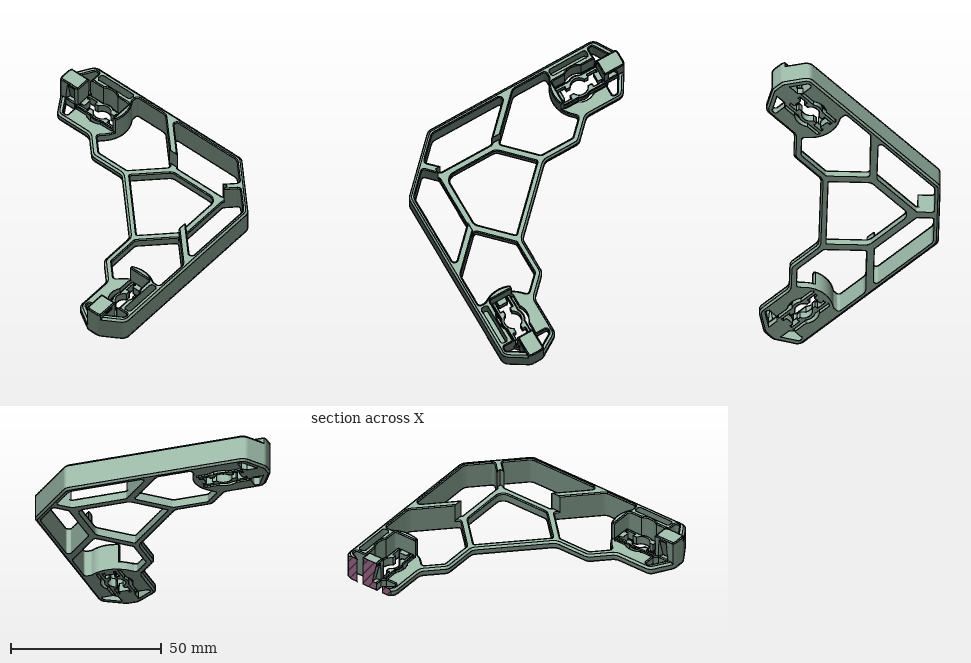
import cadquery as cq
import math

SIDE = 85.0
BASE_HEIGHT = 3.05
WALL_HEIGHT = 9.45
BLOCK_HEIGHT = 11.1
WALL = 1.65
BEAM = 2.4
OUTER_CHAMFER = 0.7
WINDOW_CHAMFER = 0.35
BLOCK_CHAMFER = 0.35
OUTER_RADIUS = 3.0
WINDOW_RADIUS = 1.0
WIDE_RADIUS = 2.8
SHARP_RADIUS = 0.5

EDGE = SIDE / 2
MIRROR_NORMAL = (1, -1, 0)
DIAG = math.sqrt(2)

HEAD_RADIUS = 10.0
HEAD_X = -26.6
HEAD_Y = EDGE - HEAD_RADIUS
HEAD_BOTTOM = HEAD_Y - HEAD_RADIUS
SHOULDER_X = -37.7
NOSE_HALF_FLAT = 2.2
BLOCK_HALF_WIDTH = 2.88

SLOT_HALF_LENGTH = 8.1
SLOT_HALF_WIDTH = 4.4
SLOT_BULGE_RADIUS = 5.4
SLOT_RADIUS = 0.8
STRIP_OUTER = 3.4
STRIP_INNER = 2.4
STRIP_CHAMFER = 0.3
STRIP_END = 0.4
RING_OUTER = 4.0
RING_INNER = 3.0
JAW_HALF_LENGTH = 4.15
JAW_HALF_GAP = 1.25
PAD_REACH = 1.8
PAD_HALF_WIDTH = 1.6
PAD_RADIUS = 0.4
CAP_END = -4.0

GROOVE_LENGTH = 14.1
GROOVE_WIDTH = 2.5
GROOVE_RADIUS = 0.9

NOSE_RIM = 2.0
NOSE_WINDOW_CHAMFER = 1.35
NOSE_WINDOW_RADIUS = 0.7
RECESS_HEIGHT = 9.9
RECESS_BOTTOM = (-40.3, -35.8)
RECESS_TOP = (-39.2, -36.25)
RECESS_DEPTH_BOTTOM = 2.4
RECESS_DEPTH_TOP = 0.2
RECESS_INSET_BOTTOM = 1.0
RECESS_INSET_TOP = 0.1

STEP_Y = 15.8
STEP_START_X = -17.0
DIAGONAL_START_X = -3.9
CORNER_X = 25.4
CROSS_TOP = 29.5
CLEARANCE = 29.75
FOOTPRINT_MARGIN = 2.0
RIB_SUM = 34.7
BRACE_DIFFERENCE = -22.1

STEP_SUM = STEP_START_X + STEP_Y
RIM_SUM = STEP_SUM + BEAM * DIAG
MIDDLE_SUM = DIAGONAL_START_X + STEP_Y + BEAM * DIAG
RIB_TOP_SUM = RIB_SUM + BEAM * DIAG
BRACE_INNER = BRACE_DIFFERENCE + BEAM * DIAG
CORNER_SUM = CORNER_X + EDGE - WALL * DIAG
CORNER_RIB = BEAM / DIAG
INSIDE = EDGE - WALL


def mirrored(points):
    """Mirror a list of points about x = y, keeping the outline continuous."""
    return [(y, x) for x, y in reversed(points)]


def cross_point(total, difference):
    """Point with the given x + y and x - y."""
    return ((total + difference) / 2, (total - difference) / 2)


def both_arms(shape):
    """Shape together with its mirror image on the other arm."""
    return shape.union(shape.mirror(MIRROR_NORMAL))


def box(x_range, y_range, z_range):
    """Axis-aligned box from its ranges."""
    size = [high - low for low, high in (x_range, y_range, z_range)]
    corner = (x_range[0], y_range[0], z_range[0])
    return cq.Workplane("XY").box(*size, centered=False).translate(corner)


def head_box(u_range, v_range, z_range):
    """Box whose plan ranges are measured from the head centre."""
    x_range = [HEAD_X + u for u in u_range]
    y_range = [HEAD_Y + v for v in v_range]
    return box(x_range, y_range, z_range)


def head_cylinder(radius, height):
    """Cylinder about the head centre."""
    return cq.Workplane("XY").center(HEAD_X, HEAD_Y).circle(radius).extrude(height)


def prism(points, height):
    """Upright prism over a polygon."""
    return cq.Workplane("XY").polyline(points).close().extrude(height)


def round_corners(body, points, radius):
    """Fillet the vertical edges of a prism that stand on the given plan points."""
    for x, y in points:
        level = body.val().BoundingBox().zmax / 2
        body = body.edges("|Z").edges(cq.selectors.NearestToPointSelector((x, y, level))).fillet(radius)
    return body


def contour(height):
    """Outer contour prism with rounded corners and a bottom chamfer."""
    upper_arm = [
        (CORNER_X, EDGE),
        (SHOULDER_X, EDGE),
        (-EDGE, HEAD_Y + NOSE_HALF_FLAT),
        (-EDGE, HEAD_Y - NOSE_HALF_FLAT),
        (SHOULDER_X, HEAD_BOTTOM),
        (STEP_SUM - HEAD_BOTTOM, HEAD_BOTTOM),
        (STEP_START_X, STEP_Y),
        (DIAGONAL_START_X, STEP_Y),
    ]
    body = prism(upper_arm + mirrored(upper_arm), height).edges("|Z").fillet(OUTER_RADIUS)
    return body.faces("<Z").chamfer(OUTER_CHAMFER)


def flared(window_shape, height, *details):
    """Window prism of the given height, widened at 45 degrees at its top."""
    window = window_shape(height - WINDOW_CHAMFER, *details)
    flare = window.faces(">Z").wires().toPending().workplane()
    return window.union(flare.extrude(WINDOW_CHAMFER, combine=False, taper=-45))


def head_window(height):
    """Window between the head, the rib and the brace."""
    tangent = HEAD_RADIUS / DIAG
    tip_u, tip_v = cross_point(RIM_SUM - HEAD_X - HEAD_Y, HEAD_RADIUS * DIAG)
    arc_v = math.sqrt(HEAD_RADIUS ** 2 - SLOT_HALF_LENGTH ** 2)
    beam_y = STEP_Y + BEAM
    tip = (HEAD_X + tip_u, HEAD_Y + tip_v)
    arc_end = (HEAD_X + SLOT_HALF_LENGTH, HEAD_Y + arc_v)
    wall_corner = (HEAD_X + SLOT_HALF_LENGTH, INSIDE)
    rib_corner = (RIB_SUM - INSIDE, INSIDE)
    brace_corner = cross_point(RIB_SUM, BRACE_DIFFERENCE)
    beam_end = (BRACE_DIFFERENCE + beam_y, beam_y)
    beam_start = (RIM_SUM - beam_y, beam_y)
    body = (
        cq.Workplane("XY")
        .moveTo(*tip)
        .lineTo(HEAD_X + tangent, HEAD_Y - tangent)
        .threePointArc((HEAD_X + HEAD_RADIUS, HEAD_Y), arc_end)
        .lineTo(*wall_corner)
        .lineTo(*rib_corner)
        .lineTo(*brace_corner)
        .lineTo(*beam_end)
        .lineTo(*beam_start)
        .close()
        .extrude(height)
    )
    body = round_corners(body, [rib_corner], WIDE_RADIUS)
    small = [tip, arc_end, wall_corner, brace_corner, beam_end, beam_start]
    return round_corners(body, small, WINDOW_RADIUS)


def edge_window(height):
    """Window between the diagonal rib, the cut corner and the corner rib."""
    acute_corner = (RIB_TOP_SUM - INSIDE, INSIDE)
    rib_corner = (RIB_TOP_SUM - CROSS_TOP, CROSS_TOP)
    beam_corner = (CROSS_TOP - CORNER_RIB, CROSS_TOP)
    wall_corner = cross_point(CORNER_SUM, -CORNER_RIB)
    cut_corner = (CORNER_SUM - INSIDE, INSIDE)
    body = prism([acute_corner, rib_corner, beam_corner, wall_corner, cut_corner], height)
    body = round_corners(body, [cut_corner], WIDE_RADIUS)
    small = [acute_corner, rib_corner, beam_corner, wall_corner]
    return round_corners(body, small, WINDOW_RADIUS)


def middle_window(height):
    """Five-sided window across the symmetry plane."""
    inside = CROSS_TOP - BEAM
    inner_corner = (inside, inside)
    brace_corner = (BRACE_INNER + inside, inside)
    base_corner = cross_point(MIDDLE_SUM, BRACE_INNER)
    arm = [brace_corner, base_corner]
    body = prism([inner_corner] + arm + mirrored(arm), height)
    body = round_corners(body, [inner_corner, brace_corner] + mirrored([brace_corner]), WIDE_RADIUS)
    return round_corners(body, [base_corner] + mirrored([base_corner]), SHARP_RADIUS)


def nose_window(height, side):
    """Window beside the nose block; side is +1 toward the outer edge, -1 away from it."""
    nose_u = -EDGE - HEAD_X
    shoulder_u = SHOULDER_X - HEAD_X
    slope = (shoulder_u - nose_u) / (HEAD_RADIUS - NOSE_HALF_FLAT)
    shift = NOSE_RIM * math.hypot(1, slope)
    top_v = HEAD_RADIUS - WALL

    def rim_u(v):
        return nose_u + (v - NOSE_HALF_FLAT) * slope + shift

    end = -SLOT_HALF_LENGTH
    inner_v = BLOCK_HALF_WIDTH
    points = [
        (rim_u(inner_v), inner_v),
        (rim_u(top_v), top_v),
        (end, top_v),
        (end, inner_v + NOSE_WINDOW_CHAMFER),
        (end - NOSE_WINDOW_CHAMFER, inner_v),
    ]
    body = prism([(HEAD_X + u, HEAD_Y + side * v) for u, v in points], height)
    far_corners = body.edges("|Z").edges(">Y" if side > 0 else "<Y")
    return far_corners.fillet(NOSE_WINDOW_RADIUS)


def windows(height):
    """All windows of the frame and of both heads."""
    arm = flared(head_window, height).union(flared(edge_window, height))
    for side in (1, -1):
        arm = arm.union(flared(nose_window, height, side))
    return both_arms(arm).union(flared(middle_window, height))


def raised_footprint():
    """Prism over the plan area that rises to wall height."""
    rise = (0, WALL_HEIGHT)
    arm = box((-EDGE, EDGE), (INSIDE - FOOTPRINT_MARGIN, EDGE), rise)
    shoulder_start = SLOT_HALF_WIDTH - SLOT_RADIUS
    cap_start = SLOT_HALF_LENGTH - SLOT_RADIUS
    nose_end = -SLOT_HALF_LENGTH - NOSE_WINDOW_CHAMFER
    nose_tip = -EDGE - HEAD_X
    shoulder_length = (-SLOT_HALF_LENGTH, SLOT_HALF_LENGTH)
    arm = arm.union(head_box(shoulder_length, (shoulder_start, HEAD_RADIUS), rise))
    arm = arm.union(head_box((nose_tip, nose_end), (0, HEAD_RADIUS), rise))
    arm = arm.union(head_box((cap_start, HEAD_RADIUS), (CAP_END, HEAD_RADIUS), rise))
    rib = prism([
        (RIB_SUM - FOOTPRINT_MARGIN - EDGE, EDGE),
        (RIB_SUM - FOOTPRINT_MARGIN - CLEARANCE, CLEARANCE),
        (RIB_TOP_SUM + FOOTPRINT_MARGIN - CLEARANCE, CLEARANCE),
        (RIB_TOP_SUM + FOOTPRINT_MARGIN - EDGE, EDGE),
    ], WALL_HEIGHT)
    arm = arm.union(rib)
    corner_start = CORNER_SUM - FOOTPRINT_MARGIN - EDGE
    corner = prism([(corner_start, EDGE), (EDGE, corner_start), (EDGE, EDGE)], WALL_HEIGHT)
    corner = corner.union(box((CROSS_TOP - BEAM, EDGE), (CROSS_TOP - BEAM, EDGE), rise))
    corner = corner.cut(box((0, CLEARANCE), (0, CLEARANCE), rise))
    return both_arms(arm).union(corner)


def layer(height):
    """Contour of one height with its outer top chamfer and all windows."""
    return contour(height).faces(">Z").chamfer(OUTER_CHAMFER).cut(windows(height))


def slot(height):
    """Slot around the clip, up to the given height."""
    length = (-SLOT_HALF_LENGTH, SLOT_HALF_LENGTH)
    opening = head_box(length, (-SLOT_HALF_WIDTH, SLOT_HALF_WIDTH), (0, height))
    opening = opening.edges("|Z").fillet(SLOT_RADIUS)
    return opening.union(head_cylinder(SLOT_BULGE_RADIUS, height))


def pad(side):
    """Rounded pad standing off one slot end; side is the sign of its u position."""
    u_range = sorted((side * (SLOT_HALF_LENGTH - PAD_REACH), side * SLOT_HALF_LENGTH))
    body = head_box(u_range, (-PAD_HALF_WIDTH, PAD_HALF_WIDTH), (0, BASE_HEIGHT))
    free_end = "<X" if side > 0 else ">X"
    return body.faces(free_end).edges("|Z").fillet(PAD_RADIUS)


def clip():
    """Two strips with a split ring, jaws and end pads, level with the base."""
    full = (0, BASE_HEIGHT)
    root = SLOT_HALF_LENGTH + STRIP_CHAMFER
    inner_end = SLOT_HALF_LENGTH - STRIP_END
    body = head_box((-root, root), (-STRIP_OUTER, STRIP_OUTER), full)
    body = body.union(head_cylinder(RING_OUTER, BASE_HEIGHT)).faces(">Z").chamfer(STRIP_CHAMFER)
    body = body.cut(head_cylinder(RING_INNER, BASE_HEIGHT))
    body = body.cut(head_box((-inner_end, inner_end), (-JAW_HALF_GAP, JAW_HALF_GAP), full))
    for side in (1, -1):
        u_range = sorted((side * JAW_HALF_LENGTH, side * inner_end))
        body = body.cut(head_box(u_range, (-STRIP_INNER, STRIP_INNER), full))
        body = body.union(pad(side))
    return body


def groove():
    """Blind groove in the head shoulder, along the outer wall, down to the base level."""
    length = (-GROOVE_LENGTH / 2, GROOVE_LENGTH / 2)
    body = box(length, (-GROOVE_WIDTH, 0), (BASE_HEIGHT, WALL_HEIGHT))
    return body.edges("|Z").fillet(GROOVE_RADIUS).translate((HEAD_X, INSIDE, 0))


def nose_recess():
    """Tapered recess in the lower-Y side of the nose block, deepest at the underside."""
    face_y = HEAD_Y - BLOCK_HALF_WIDTH

    def section(x_range, depth, inset):
        left, right = x_range
        return [
            (left, face_y), (right, face_y),
            (right - inset, face_y + depth), (left + inset, face_y + depth),
        ]

    return (
        cq.Workplane("XY")
        .polyline(section(RECESS_BOTTOM, RECESS_DEPTH_BOTTOM, RECESS_INSET_BOTTOM)).close()
        .workplane(offset=RECESS_HEIGHT)
        .polyline(section(RECESS_TOP, RECESS_DEPTH_TOP, RECESS_INSET_TOP)).close()
        .loft(ruled=True)
    )


def nose_blocks():
    """Tall block at each arm end with a recess in both sides."""
    length = (-EDGE - HEAD_X, -SLOT_HALF_LENGTH)
    span = head_box(length, (-BLOCK_HALF_WIDTH, BLOCK_HALF_WIDTH), (0, BLOCK_HEIGHT))
    body = contour(BLOCK_HEIGHT).intersect(both_arms(span)).faces(">Z").chamfer(BLOCK_CHAMFER)
    recess = nose_recess()
    return body.cut(both_arms(recess.union(recess.mirror("XZ", (0, HEAD_Y, 0)))))


raised = layer(WALL_HEIGHT).intersect(raised_footprint())
frame = layer(BASE_HEIGHT).union(raised)
frame = frame.cut(both_arms(flared(slot, WALL_HEIGHT).union(groove())))
result = frame.union(nose_blocks()).union(both_arms(clip()))